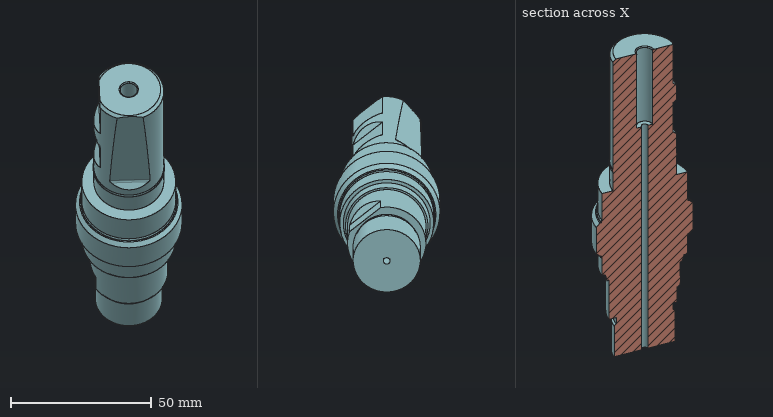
import cadquery as cq
import math

total_length = 129.0
thread_top = 13.5
neck_start = 14.2
body_bottom = 16.8
cone_bottom = 33.8
collar_bottom = 36.5
flange_bottom = 46.6
flange_top = 58.2
collar_top = 72.2

shank_radius = 25.0 / 2
collar_radius = 33.5 / 2
flange_radius = 38.0 / 2
cone_top_radius = 31.0 / 2
cone_bottom_radius = 14.7
body_radius = 28.0 / 2
neck_radius = 22.5 / 2
thread_radius = 24.0 / 2
rim_radius = 17.5

lower_rim = flange_bottom - (flange_radius - rim_radius)
upper_rim = flange_top + (flange_radius - rim_radius)
lip_radius = 17.0
lip_length = 0.9
lip_bulge = 0.3

tip_chamfer_depth = 1.2
tip_chamfer_length = 1.0

ring_bottom = 80.4
ring_top = 81.5
ring_height = 0.3

bore_radius = 6.0 / 2
bore_depth = 32.2
bore_chamfer = 0.4
coolant_radius = 2.5 / 2

side_flat_angle = -109.0
shank_flat_distance = 10.5
body_flat_distance = 12.0
top_flat_bottom = 112.2
middle_flat_bottom = 91.2
middle_flat_top = 103.3
body_flat_top = 23.1

sloped_flat_angle = side_flat_angle + 90
slope = 2.0
sloped_flat_bottom = 87.1
sloped_flat_bottom_distance = 10.2
sloped_flat_fillet = 1.3

reach = 12.9


def turned_body():
    below_flange = [
        (0, 0),
        (thread_radius, 0),
        (thread_radius, thread_top),
        (neck_radius, neck_start),
        (neck_radius, body_bottom),
        (body_radius, body_bottom),
        (body_radius, cone_bottom),
        (cone_bottom_radius, cone_bottom),
        (cone_top_radius, collar_bottom),
        (collar_radius, collar_bottom),
        (collar_radius, lower_rim - lip_length),
    ]
    flange = [
        (rim_radius, lower_rim),
        (flange_radius, flange_bottom),
        (flange_radius, flange_top),
        (rim_radius, upper_rim),
        (lip_radius, upper_rim),
    ]
    collar_to_ring = [
        (collar_radius, collar_top),
        (shank_radius, collar_top),
        (shank_radius, ring_bottom),
    ]
    above_ring = [
        (shank_radius, total_length - tip_chamfer_length),
        (shank_radius - tip_chamfer_depth, total_length),
        (0, total_length),
    ]
    profile = (
        cq.Workplane("XZ")
        .polyline(below_flange)
        .sagittaArc((lip_radius, lower_rim), -lip_bulge)
        .polyline(flange, includeCurrent=True)
        .sagittaArc((collar_radius, upper_rim + lip_length), -lip_bulge)
        .polyline(collar_to_ring, includeCurrent=True)
        .sagittaArc((shank_radius, ring_top), -ring_height)
        .polyline(above_ring, includeCurrent=True)
        .close()
    )
    return profile.revolve(360, (0, 0, 0), (0, 1, 0))


def flat_cutter(section, angle):
    """Extrude a (distance from axis, height) section across the part, turned to face the angle."""
    cutter = cq.Workplane("XZ").polyline(section).close().extrude(flange_radius, both=True)
    return cutter.rotate((0, 0, 0), (0, 0, 1), angle)


def top_flat():
    section = [
        (shank_flat_distance, top_flat_bottom),
        (shank_flat_distance + reach, top_flat_bottom - reach),
        (shank_flat_distance + reach, total_length + reach),
        (shank_flat_distance, total_length + reach),
    ]
    return flat_cutter(section, side_flat_angle)


def middle_flat():
    section = [
        (shank_flat_distance, middle_flat_bottom),
        (shank_flat_distance + reach, middle_flat_bottom - reach),
        (shank_flat_distance + reach, middle_flat_top + reach),
        (shank_flat_distance, middle_flat_top),
    ]
    return flat_cutter(section, side_flat_angle)


def body_flat():
    section = [
        (body_flat_distance, body_bottom),
        (body_flat_distance + reach, body_bottom),
        (body_flat_distance + reach, body_flat_top + reach),
        (body_flat_distance, body_flat_top),
    ]
    return flat_cutter(section, side_flat_angle)


def sloped_flat():
    top = total_length + reach
    rise = top - sloped_flat_bottom
    top_distance = sloped_flat_bottom_distance + rise * math.tan(math.radians(slope))
    outer_distance = sloped_flat_bottom_distance + reach
    section = [
        (sloped_flat_bottom_distance, sloped_flat_bottom),
        (outer_distance, sloped_flat_bottom - reach),
        (outer_distance, top),
        (top_distance, top),
    ]
    corner = (sloped_flat_bottom_distance, 0, sloped_flat_bottom)
    rounded_corner = cq.selectors.NearestToPointSelector(corner)
    cutter = flat_cutter(section, 0).edges(rounded_corner).fillet(sloped_flat_fillet)
    return cutter.rotate((0, 0, 0), (0, 0, 1), sloped_flat_angle)


def stepped_bore():
    coolant = cq.Workplane("XY").circle(coolant_radius).extrude(total_length)
    bore = cq.Workplane("XY", origin=(0, 0, total_length)).circle(bore_radius).extrude(-bore_depth)
    countersink = (
        cq.Workplane("XY", origin=(0, 0, total_length))
        .circle(bore_radius + bore_chamfer)
        .workplane(offset=-bore_chamfer)
        .circle(bore_radius)
        .loft(ruled=True)
    )
    return coolant.union(bore).union(countersink)


result = turned_body()
for cutter in (top_flat(), middle_flat(), body_flat(), sloped_flat(), stepped_bore()):
    result = result.cut(cutter)